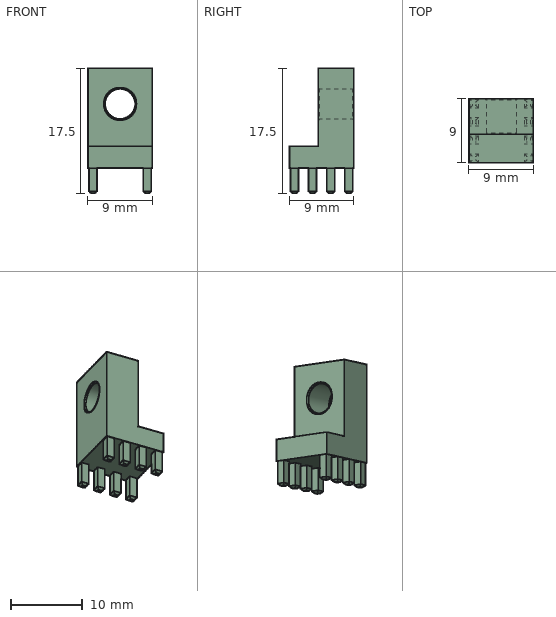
import cadquery as cq

side = 9.0
total_height = 17.5
pin_length = 3.5
foot_height = 3.1
upright_depth = 5.0

hole_diameter = 4.2
hole_chamfer = 0.2
hole_below_top = 5.0

pin_width = 1.15
pin_pitch = 2.54
pins_per_row = 4
tip_chamfer = 0.32

half_side = side / 2
step_y = half_side - upright_depth
foot_top = pin_length + foot_height
row_span = (pins_per_row - 1) * pin_pitch


def make_body():
    """L-shaped profile in the YZ plane, extruded across X."""
    profile = [
        (-half_side, pin_length),
        (half_side, pin_length),
        (half_side, total_height),
        (step_y, total_height),
        (step_y, foot_top),
        (-half_side, foot_top),
    ]
    return cq.Workplane("YZ").polyline(profile).close().extrude(half_side, both=True)


def make_hole_cutter():
    """Through hole along Y, chamfered at both faces of the upright."""
    radius = hole_diameter / 2
    mouth_radius = radius + hole_chamfer
    hole_z = total_height - hole_below_top
    half_section = [
        (0, step_y),
        (mouth_radius, step_y),
        (radius, step_y + hole_chamfer),
        (radius, half_side - hole_chamfer),
        (mouth_radius, half_side),
        (0, half_side),
    ]
    cutter = cq.Workplane("XY").polyline(half_section).close().revolve(360, (0, 0), (0, 1))
    return cutter.translate((0, 0, hole_z))


def make_pin(x, y):
    """Square pin from Z = 0 up to the foot, with its tip chamfered."""
    pin = cq.Workplane("XY").rect(pin_width, pin_width).extrude(pin_length)
    return pin.faces("<Z").chamfer(tip_chamfer).translate((x, y, 0))


result = make_body().cut(make_hole_cutter())
for row_x in (-row_span / 2, row_span / 2):
    for index in range(pins_per_row):
        result = result.union(make_pin(row_x, index * pin_pitch - row_span / 2))